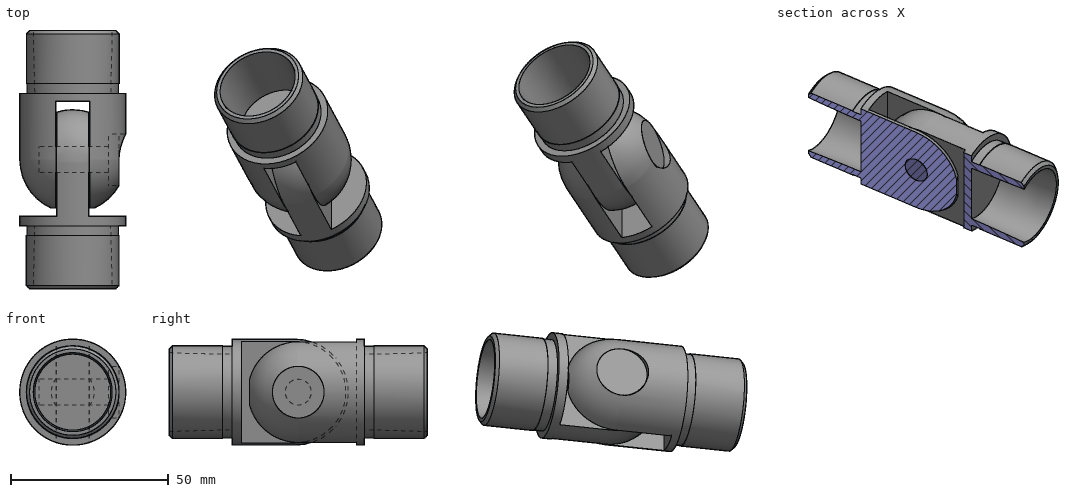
import cadquery as cq
import math

LENGTH = 82.0
END = LENGTH / 2
BODY_DIAMETER = 33.7
BODY_RADIUS = BODY_DIAMETER / 2

TUBE_RADIUS = 14.8
GROOVE_RADIUS = 14.6
GROOVE_WIDTH = 3.1
SHOULDER = 21.0
TUBE_CHAMFER = 1.1
BORE_RADIUS = 12.55
FLOOR_RADIUS = 12.05
BORE_DEPTH = END - SHOULDER

SLOT_WIDTH = 10.7
SLOT_FLOOR = 18.45
CHEEK_END = -15.4

TONGUE_THICKNESS = 10.2
TONGUE_DOME_CENTRE = -1.0
FLANGE_FACE = -17.95

HEAD_RADIUS = 8.2
HEAD_FACE = 14.7
HEAD_THICKNESS = 3.3
SHANK_RADIUS = 4.1
SHANK_END = -10.7


def cylinder_y(radius, y_low, y_high):
    """Round bar on the Y axis between two Y positions."""
    base = cq.Workplane("XZ", origin=(0, y_low, 0))
    return base.circle(radius).extrude(y_low - y_high)


def cylinder_x(radius, x_low, x_high):
    """Round bar on the X axis between two X positions."""
    return cq.Workplane("YZ", origin=(x_low, 0, 0)).circle(radius).extrude(x_high - x_low)


def slab(width, y_low, y_high):
    """Flat block centred on X = 0, taller than the joint."""
    height = 3 * BODY_RADIUS
    return cq.Workplane("XY").box(width, y_high - y_low, height).translate((0, (y_low + y_high) / 2, 0))


def tube_spigot():
    """Solid spigot at the +Y end, with a relief groove beside its shoulder."""
    groove = cylinder_y(GROOVE_RADIUS, SHOULDER, SHOULDER + GROOVE_WIDTH)
    tube = cylinder_y(TUBE_RADIUS, SHOULDER + GROOVE_WIDTH, END)
    return groove.union(tube.faces(">Y").edges().chamfer(TUBE_CHAMFER))


def tube_bore():
    """Blind bore at the +Y end, tapering slightly to its floor."""
    floor = cq.Workplane("XZ", origin=(0, END - BORE_DEPTH, 0)).circle(FLOOR_RADIUS)
    return floor.workplane(offset=-BORE_DEPTH).circle(BORE_RADIUS).loft(ruled=True)


def at_minus_y(shape):
    """Turn a +Y end feature round to the -Y end."""
    return shape.rotate((0, 0, 0), (0, 0, 1), 180)


def pivot_pin():
    """Stepped pin whose flat head lies in the +X cheek."""
    shank = cylinder_x(SHANK_RADIUS, SHANK_END, HEAD_FACE)
    head = cylinder_x(HEAD_RADIUS, HEAD_FACE - HEAD_THICKNESS, HEAD_FACE)
    return shank.union(head)


def pin_hole():
    """Matching stepped hole, with the head recess open to +X."""
    recess = cylinder_x(HEAD_RADIUS, HEAD_FACE - HEAD_THICKNESS, 2 * BODY_RADIUS)
    return pivot_pin().union(recess)


def domed_bar(straight_length):
    """Round bar along +Y from the origin, with a hemisphere on its -Y end."""
    diagonal = BODY_RADIUS * math.sqrt(0.5)
    profile = cq.Workplane("XY").moveTo(0, -BODY_RADIUS)
    profile = profile.threePointArc((diagonal, -diagonal), (BODY_RADIUS, 0))
    profile = profile.lineTo(BODY_RADIUS, straight_length).lineTo(0, straight_length).close()
    return profile.revolve(360, (0, 0, 0), (0, 1, 0))


def fork():
    """Spigot with two domed cheeks either side of a slot."""
    body = domed_bar(SHOULDER).intersect(slab(3 * BODY_RADIUS, CHEEK_END, SHOULDER))
    body = body.cut(slab(SLOT_WIDTH, -END, SLOT_FLOOR))
    return body.union(tube_spigot()).cut(tube_bore()).cut(pin_hole())


def tongue():
    """Flanged spigot with a flat domed tongue that fits in the fork slot."""
    blade = at_minus_y(domed_bar(SHOULDER + TONGUE_DOME_CENTRE)).translate((0, TONGUE_DOME_CENTRE, 0))
    beside_blade = slab(3 * BODY_RADIUS, FLANGE_FACE, END).cut(slab(TONGUE_THICKNESS, FLANGE_FACE, END))
    body = blade.cut(beside_blade).union(at_minus_y(tube_spigot()))
    return body.cut(at_minus_y(tube_bore())).cut(pin_hole())


result = cq.Compound.makeCompound([fork().solids().val(), tongue().solids().val(), pivot_pin().solids().val()])